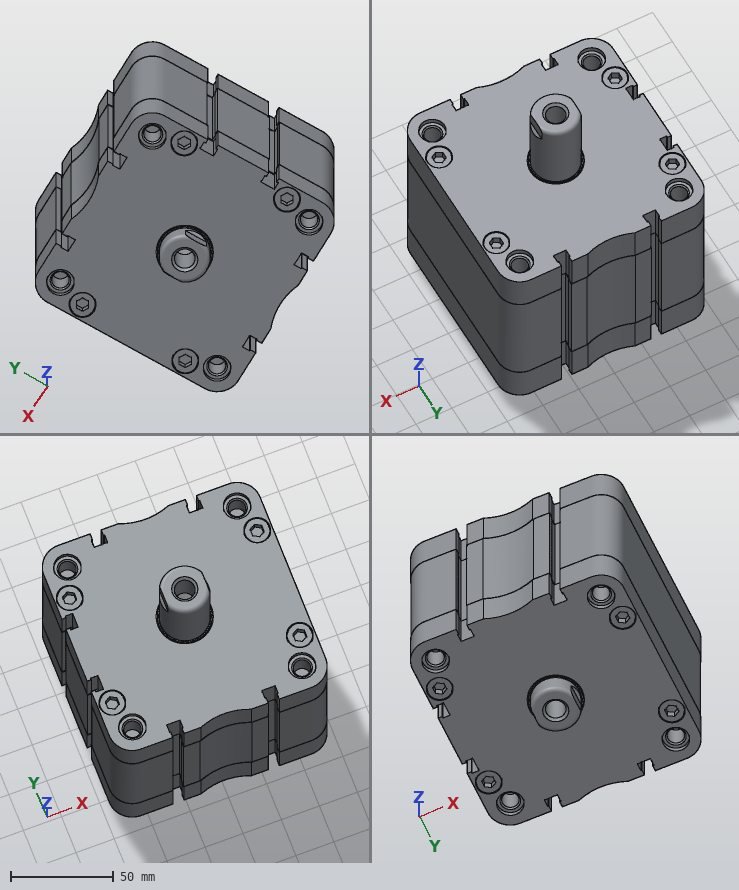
import cadquery as cq
import math


cap_side = 113.5
barrel_side = 113.3
corner_radius = 12.0
cap_height = 19.5
barrel_height = 58.0
body_height = barrel_height + 2 * cap_height

hollow_depth = 2.6
cap_hollow_width = 26.4
barrel_hollow_width = 27.2

face_lip = 3.1
face_groove_depth = 7.2
cap_face_groove_x = 25.0
cap_face_mouth = 5.8
cap_face_inner = 7.0
barrel_face_groove_x = 25.15
barrel_face_mouth = 5.6
barrel_face_inner = 6.6

side_lip = 2.2
cap_side_groove_y = 17.3
cap_side_mouth = 5.8
cap_side_inner = 7.6
cap_side_depth = 6.0
barrel_side_groove_y = 17.7
barrel_side_mouth = 5.8
barrel_side_inner = 6.6
barrel_side_depth = 5.5

mount_offset = 44.5
mount_bore = 13.5
mount_bore_depth = 2.8
mount_sink = 10.11
mount_hole = 8.57
mount_depth = 16.0

screw_x = 49.2
screw_y = 29.2
screw_bore = 13.1
screw_head = 12.5
screw_sink = 0.4
screw_gap_depth = 2.0
socket_flats = 6.0
socket_depth = 4.0

rod_diameter = 25.0
rod_above_body = 40.0
rod_below_body = 10.0
rod_length = rod_below_body + body_height + rod_above_body
rod_round = 2.0
flat_distance = 11.0
flat_length = 7.0
flat_runout = rod_diameter / 2 - flat_distance
thread_hole = 10.11
thread_sink = 12.8
thread_depth = 20.0
drill_tip_angle = 120.0

seal_outside = 28.0
seal_crest_outside = 26.9
seal_crest_inside = 25.6
seal_depth = 5.0
seal_edge_drop = 0.5


def cylinder(diameter, bottom, top):
    return cq.Workplane("XY").workplane(offset=bottom).circle(diameter / 2).extrude(top - bottom)


def turned(profile):
    """Revolve (radius, z) points about the Z axis."""
    return cq.Workplane("XZ").polyline(profile).close().revolve(360, (0, 0, 0), (0, 1, 0))


def t_groove(mouth, inner, lip, depth, height):
    """T-groove cutter entering the plane Y = 0 from the +Y side."""
    neck = cq.Workplane("XY").rect(mouth, 2 * lip).extrude(height)
    pocket = cq.Workplane("XY").center(0, -(lip + depth) / 2).rect(inner, depth - lip).extrude(height)
    return neck.union(pocket)


def housing_block(side, height, hollow_width):
    """Rounded square block with the two arc hollows and the rod bore."""
    block = cq.Workplane("XY").rect(side, side).extrude(height).edges("|Z").fillet(corner_radius)
    hollow_radius = ((hollow_width / 2) ** 2 + hollow_depth**2) / (2 * hollow_depth)
    hollow_center = side / 2 - hollow_depth + hollow_radius
    for end in (-1, 1):
        block = block.cut(cylinder(2 * hollow_radius, 0, height).translate((0, end * hollow_center, 0)))
    return block.cut(cylinder(rod_diameter, 0, height))


def cut_grooves(block, face_groove, face_groove_x, side_groove, side_groove_y):
    face = cap_side / 2
    for sign in (-1, 1):
        x = sign * face_groove_x
        back_groove = face_groove.translate((x, face, 0))
        front_groove = face_groove.mirror("XZ").translate((x, -face, 0))
        left_groove = side_groove.rotate((0, 0, 0), (0, 0, 1), 90).translate((-face, sign * side_groove_y, 0))
        block = block.cut(back_groove).cut(front_groove).cut(left_groove)
    return block


def mounting_hole():
    sink_top = cap_height - mount_bore_depth
    sink_bottom = sink_top - (mount_sink - mount_hole) / 2
    hole_bottom = cap_height - mount_depth
    return turned([
        (0, cap_height),
        (mount_bore / 2, cap_height),
        (mount_bore / 2, sink_top),
        (mount_sink / 2, sink_top),
        (mount_hole / 2, sink_bottom),
        (mount_hole / 2, hole_bottom),
        (0, hole_bottom),
    ])


def screw_cut():
    """Material removed around, above and inside one screw head."""
    head_top = cap_height - screw_sink
    gap_bottom = cap_height - screw_gap_depth
    ring_gap = cylinder(screw_bore, gap_bottom, cap_height).cut(cylinder(screw_head, gap_bottom, head_top))
    socket = (
        cq.Workplane("XY")
        .workplane(offset=head_top - socket_depth)
        .polygon(6, socket_flats / math.cos(math.pi / 6))
        .extrude(socket_depth)
        .rotate((0, 0, 0), (0, 0, 1), 90)
    )
    return ring_gap.union(socket)


def make_cap():
    """Cap with its outer face upward at Z = cap_height."""
    cap = cut_grooves(
        housing_block(cap_side, cap_height, cap_hollow_width),
        t_groove(cap_face_mouth, cap_face_inner, face_lip, face_groove_depth, cap_height),
        cap_face_groove_x,
        t_groove(cap_side_mouth, cap_side_inner, side_lip, cap_side_depth, cap_height),
        cap_side_groove_y,
    )
    hole = mounting_hole()
    screw = screw_cut()
    for x_sign in (-1, 1):
        for y_sign in (-1, 1):
            cap = cap.cut(hole.translate((x_sign * mount_offset, y_sign * mount_offset, 0)))
            cap = cap.cut(screw.translate((x_sign * screw_x, y_sign * screw_y, 0)))
    return cap.cut(cylinder(seal_outside, cap_height - seal_depth, cap_height))


def make_seal():
    """Seal ring seated in a cap, with a crest between two sloping edges."""
    seal_bottom = cap_height - seal_depth
    edge_top = cap_height - seal_edge_drop
    return turned([
        (rod_diameter / 2, seal_bottom),
        (seal_outside / 2, seal_bottom),
        (seal_outside / 2, edge_top),
        (seal_crest_outside / 2, cap_height),
        (seal_crest_inside / 2, cap_height),
        (rod_diameter / 2, edge_top),
    ])


def make_barrel():
    return cut_grooves(
        housing_block(barrel_side, barrel_height, barrel_hollow_width),
        t_groove(barrel_face_mouth, barrel_face_inner, face_lip, face_groove_depth, barrel_height),
        barrel_face_groove_x,
        t_groove(barrel_side_mouth, barrel_side_inner, side_lip, barrel_side_depth, barrel_height),
        barrel_side_groove_y,
    )


def rod_end_cut():
    """Threaded hole and two wrench flats for a rod end at Z = 0, with the rod above it."""
    hole_radius = thread_hole / 2
    tip_length = hole_radius / math.tan(math.radians(drill_tip_angle / 2))
    hole = turned([
        (0, 0),
        (thread_sink / 2, 0),
        (hole_radius, (thread_sink - thread_hole) / 2),
        (hole_radius, thread_depth),
        (0, thread_depth + tip_length),
    ])
    rod_radius = rod_diameter / 2
    flat = (
        cq.Workplane("XZ")
        .polyline([
            (flat_distance, 0),
            (flat_distance, flat_length),
            (rod_radius, flat_length + flat_runout),
            (rod_radius, 0),
        ])
        .close()
        .extrude(rod_radius, both=True)
    )
    return hole.union(flat).union(flat.mirror("YZ"))


def make_rod():
    rod = cylinder(rod_diameter, 0, rod_length).faces("<Z or >Z").edges().fillet(rod_round)
    end_cut = rod_end_cut()
    rod = rod.cut(end_cut).cut(end_cut.mirror("XY").translate((0, 0, rod_length)))
    return rod.translate((0, 0, -rod_below_body))


def at_both_ends(body):
    """Copies of a cap-level body for the top and, upside down, for the bottom of the housing."""
    top = body.translate((0, 0, body_height - cap_height))
    bottom = body.mirror("XY").translate((0, 0, cap_height))
    return [top.val(), bottom.val()]


barrel = make_barrel().translate((0, 0, cap_height))
caps = at_both_ends(make_cap())
seals = at_both_ends(make_seal())
rod = make_rod()

result = cq.Compound.makeCompound([barrel.val(), *caps, *seals, rod.val()])